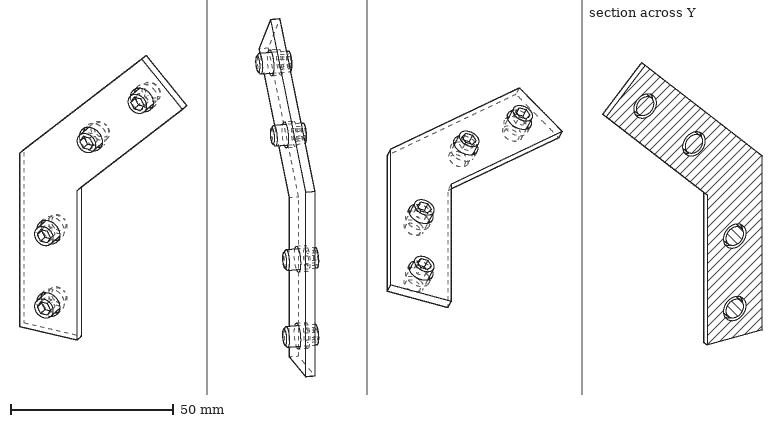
import cadquery as cq
import math

OVERALL_HEIGHT = 102.4
PLATE_WIDTH = 20.0
PLATE_THICKNESS = 3.0
BEND_ANGLE = math.radians(45)
LEG_LENGTH = OVERALL_HEIGHT / (1 + math.cos(BEND_ANGLE))
HOLE_DIAMETER = 8.0

END_DISTANCE = PLATE_WIDTH / 2
HOLE_SPACING = 25.0

SCREW_DIAMETER = 6.5
SCREW_LENGTH = 10.0
SCREW_FRONT_PROTRUSION = 3.0
TIP_CHAMFER = 0.7
SOCKET_ACROSS_FLATS = 4.0
SOCKET_DEPTH = 3.0

ARM_X = math.sin(BEND_ANGLE)
ARM_Z = math.cos(BEND_ANGLE)
ACROSS_X = ARM_Z
ACROSS_Z = -ARM_X


def arm_point(along, across):
    """Point (x, z) at a distance along the arm's outer edge and across its width."""
    return (
        along * ARM_X + across * ACROSS_X,
        LEG_LENGTH + along * ARM_Z + across * ACROSS_Z,
    )


def screw_places():
    """Axis places (x, z) of the two screws in the leg and the two in the arm."""
    places = []
    for distance in (END_DISTANCE, END_DISTANCE + HOLE_SPACING):
        places.append((PLATE_WIDTH / 2, distance))
        places.append(arm_point(LEG_LENGTH - distance, PLATE_WIDTH / 2))
    return places


def make_plate():
    inner_bend_z = LEG_LENGTH - PLATE_WIDTH * math.tan(BEND_ANGLE / 2)
    outline = [
        (0, 0),
        (0, LEG_LENGTH),
        arm_point(LEG_LENGTH, 0),
        arm_point(LEG_LENGTH, PLATE_WIDTH),
        (PLATE_WIDTH, inner_bend_z),
        (PLATE_WIDTH, 0),
    ]
    blank = cq.Workplane("XZ").polyline(outline).close().extrude(-PLATE_THICKNESS)
    holes = (
        cq.Workplane("XZ")
        .pushPoints(screw_places())
        .circle(HOLE_DIAMETER / 2)
        .extrude(-PLATE_THICKNESS)
    )
    return blank.cut(holes)


def make_screw(x, z):
    front_plane = cq.Workplane("XZ", origin=(x, -SCREW_FRONT_PROTRUSION, z))
    shank = front_plane.circle(SCREW_DIAMETER / 2).extrude(-SCREW_LENGTH)
    shank = shank.faces(">Y").chamfer(TIP_CHAMFER)

    across_corners = SOCKET_ACROSS_FLATS / math.cos(math.radians(30))
    socket = front_plane.polygon(6, across_corners).extrude(-SOCKET_DEPTH)
    return shank.cut(socket)


plate = make_plate()
screws = [make_screw(x, z) for x, z in screw_places()]

result = cq.Compound.makeCompound([plate.val(), *[screw.val() for screw in screws]])